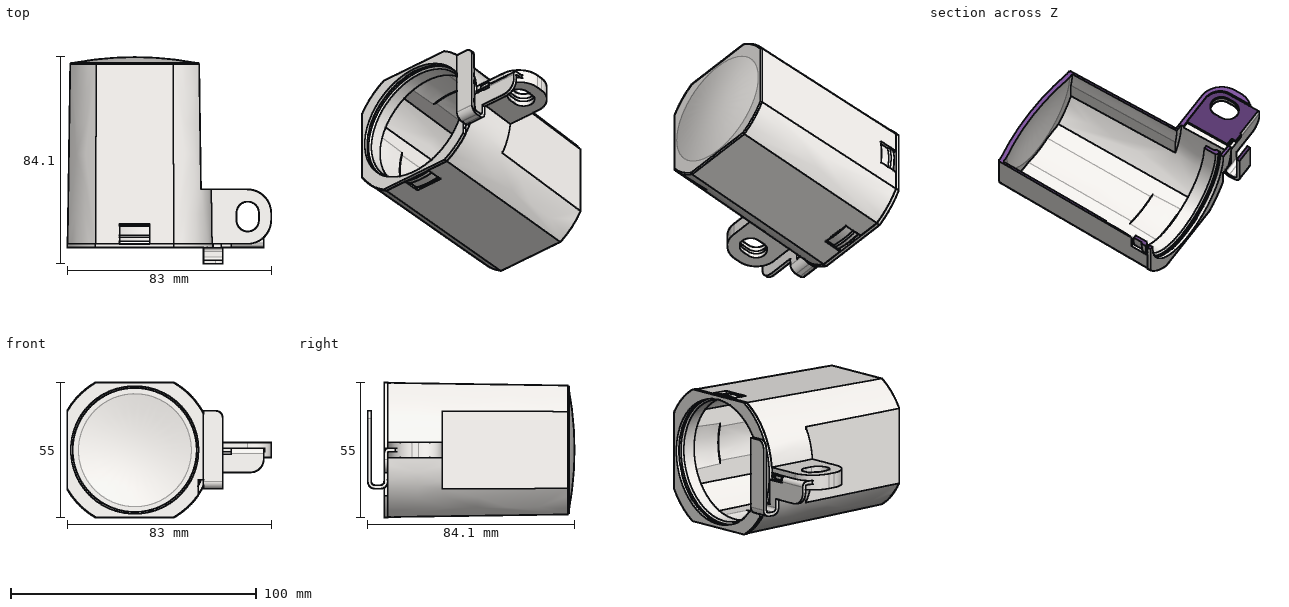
import cadquery as cq
HALF_WIDTH = 27.3
CORNER_RADIUS = 31.6
RIM_STEP = 0.2
RIM_THICKNESS = 1.5
BODY_LENGTH = 75.2
TAPER_ANGLE = 0.84
WALL = 2.0
REAR_EDGE_CHAMFER = 0.6
DOME_RADIUS = 24.4
DOME_HEIGHT = 2.3
INNER_DOME_RADIUS = 23.0

MOUTH_RADIUS = 52.0 / 2
SEAT_RADIUS = 53.5 / 2
SEAT_TAPER = 1.5
SEAT_DEPTH = 22.7

WINDOW_WIDTH = 12.2
WINDOW_END = 9.6

EAR_BACK = 23.7
BULGE_REACH = 20.2
EAR_TIP = 55.5
EAR_CORNER_RADIUS = 9.75
EAR_THICKNESS = 6.1
SLOT_WIDTH = 9.0
SLOT_LENGTH = 12.0
SLOT_X = 45.9
SLOT_Y = (RIM_THICKNESS + EAR_BACK) / 2

RING_BORE_RADIUS = 50.4 / 2
RING_RIB_RADIUS = 54.8 / 2
RING_FRONT = 2.5
RING_BACK = 8.8
RIB_SLOPE_START = 4.3
RIB_SLOPE_END = 5.0

SHEET = 1.5
BEND_INNER_RADIUS = 0.5
BEND_OUTER_RADIUS = BEND_INNER_RADIUS + SHEET
BEND_FILLET_SHARE = 0.999
BRACKET_INNER_X = 32.0
PLATE_TIP = 52.5
PLATE_BACK = 21.6
PLATE_CLEARANCE = 0.4
PLATE_CORNER_RADIUS = 6.7
TONGUE_START = 35.15
TONGUE_END = 39.3
RELIEF_BOTTOM = -1.8
TAB_BOTTOM = -9.2
TAB_CORNER_RADIUS = 5.5
STRIP_LEFT = 27.9
STRIP_RIGHT = 35.8
STRIP_TOP = 16.0
STRIP_TOP_RADIUS = 3.0
STRIP_FRONT = -6.65
STRIP_BOTTOM = -15.8
HOOK_INNER_RADIUS = 1.5
NOTCH_LEFT = 25.8
NOTCH_TOP = -12.1


def box(x_range, y_range, z_range):
    """Axis-aligned block between the given limits."""
    size = [high - low for low, high in (x_range, y_range, z_range)]
    return cq.Workplane("XY").box(*size, centered=False).translate((x_range[0], y_range[0], z_range[0]))


def axial_plane(y):
    """Sketch plane across the axis, extruding toward +Y."""
    return cq.Workplane(cq.Plane(origin=(0, y, 0), xDir=(1, 0, 0), normal=(0, 1, 0)))


def disc(radius, start, end, taper=0.0):
    """Cylinder or cone about the housing axis."""
    return axial_plane(start).circle(radius).extrude(end - start, taper=taper)


def rounded_octagon(half_width, radius, start, end, taper=0.0, bulge_end=None):
    """Square bar cut by a round bar, both tapering alike.

    Up to bulge_end, if given, the +X flat is left out and the round bar shows there.
    """
    square = axial_plane(start).rect(2 * half_width, 2 * half_width).extrude(end - start, taper=taper)
    if bulge_end is not None:
        square = square.union(box((0, radius), (start, bulge_end), (-BULGE_REACH, BULGE_REACH)))
    return square.intersect(disc(radius, start, end, taper))


def dome(radius, height, base):
    """Spherical cap about the axis, bulging toward +Y."""
    profile = (
        cq.Workplane("XY")
        .moveTo(0, base)
        .lineTo(radius, base)
        .radiusArc((0, base + height), -(radius**2 + height**2) / (2 * height))
        .close()
    )
    return profile.revolve(360, (0, 0, 0), (0, 1, 0))


def ear_blank():
    """Flat lug on the +X side, drawn in XY and centred on z = 0."""
    lug = box(
        (BRACKET_INNER_X - WALL, EAR_TIP),
        (RIM_THICKNESS, EAR_BACK),
        (-EAR_THICKNESS / 2, EAR_THICKNESS / 2),
    )
    return lug.edges("|Z and >X").fillet(EAR_CORNER_RADIUS)


def strap_slot():
    """Obround cutter through the ear and the plate inside it."""
    slot = cq.Workplane("XY").center(SLOT_X, SLOT_Y).slot2D(SLOT_LENGTH, SLOT_WIDTH, 90)
    return slot.extrude(EAR_THICKNESS, both=True)


def flat_plate(inner_x, tip, front):
    """Flat part of the bracket, with its rear outer corner rounded."""
    plate = box((inner_x, tip), (front, PLATE_BACK), (-SHEET / 2, SHEET / 2))
    return plate.edges("|Z and >X and >Y").fillet(PLATE_CORNER_RADIUS)


def make_bracket():
    """Sheet folded from a flat plate to a tab, then a forward hook and a front strip."""
    half = SHEET / 2
    plate = flat_plate(BRACKET_INNER_X, PLATE_TIP, BEND_OUTER_RADIUS).cut(strap_slot())
    tongue = box((TONGUE_START, TONGUE_END), (0, BEND_OUTER_RADIUS), (-half, half))

    bend_bottom = half - BEND_OUTER_RADIUS
    bend = box((TONGUE_END, PLATE_TIP), (0, BEND_OUTER_RADIUS), (bend_bottom, half))
    bend = bend.edges("|X and <Y and >Z").fillet(BEND_OUTER_RADIUS * BEND_FILLET_SHARE)
    bend = bend.cut(
        cq.Workplane("YZ", origin=(TONGUE_END, BEND_OUTER_RADIUS, bend_bottom))
        .circle(BEND_INNER_RADIUS)
        .extrude(PLATE_TIP - TONGUE_END)
    )

    tab = box((BRACKET_INNER_X, PLATE_TIP), (0, SHEET), (TAB_BOTTOM, RELIEF_BOTTOM))
    tab = tab.edges("|Y and >X and <Z").fillet(TAB_CORNER_RADIUS)
    tab_neck = box((TONGUE_END, PLATE_TIP), (0, SHEET), (RELIEF_BOTTOM, bend_bottom))

    hook = (
        cq.Workplane("YZ", origin=(STRIP_LEFT, 0, 0))
        .moveTo(SHEET, NOTCH_TOP)
        .lineTo(SHEET, STRIP_BOTTOM)
        .lineTo(STRIP_FRONT, STRIP_BOTTOM)
        .lineTo(STRIP_FRONT, STRIP_TOP)
        .lineTo(STRIP_FRONT + SHEET, STRIP_TOP)
        .lineTo(STRIP_FRONT + SHEET, STRIP_BOTTOM + SHEET)
        .lineTo(0, STRIP_BOTTOM + SHEET)
        .lineTo(0, NOTCH_TOP)
        .close()
        .extrude(STRIP_RIGHT - STRIP_LEFT)
    )
    hook = hook.edges("|X and <Z").fillet(HOOK_INNER_RADIUS + SHEET)
    inner_corners = cq.selectors.BoxSelector(
        (STRIP_LEFT - 0.8, STRIP_FRONT + 0.8, STRIP_BOTTOM + 0.8),
        (STRIP_RIGHT + 0.8, 0.8, STRIP_BOTTOM + SHEET + 0.8),
    )
    hook = hook.edges("|X").edges(inner_corners).fillet(HOOK_INNER_RADIUS)
    hook = hook.edges("|Y and >X and >Z").fillet(STRIP_TOP_RADIUS)
    hook_neck = box((BRACKET_INNER_X, STRIP_RIGHT), (0, SHEET), (NOTCH_TOP, TAB_BOTTOM))
    return plate.union(tongue).union(bend).union(tab_neck).union(tab).union(hook_neck).union(hook)


def make_ring():
    """Snap ring: a rib at the front, a plain cylinder behind and a lead-in bevel in the bore."""
    profile = (
        cq.Workplane("XY")
        .moveTo(MOUTH_RADIUS, RING_FRONT)
        .lineTo(RING_RIB_RADIUS, RING_FRONT)
        .lineTo(RING_RIB_RADIUS, RIB_SLOPE_START)
        .lineTo(SEAT_RADIUS, RIB_SLOPE_END)
        .lineTo(SEAT_RADIUS, RING_BACK)
        .lineTo(RING_BORE_RADIUS, RING_BACK)
        .lineTo(RING_BORE_RADIUS, RING_FRONT + MOUTH_RADIUS - RING_BORE_RADIUS)
        .close()
    )
    return profile.revolve(360, (0, 0, 0), (0, 1, 0))


def make_outer_shape():
    """Housing without its openings: tapered body, dome, rim and ear."""
    body = rounded_octagon(HALF_WIDTH, CORNER_RADIUS, 0, BODY_LENGTH, TAPER_ANGLE, EAR_BACK)
    body = body.faces(">Y").chamfer(REAR_EDGE_CHAMFER)
    body = body.union(dome(DOME_RADIUS, DOME_HEIGHT, BODY_LENGTH))
    rim = rounded_octagon(
        HALF_WIDTH + RIM_STEP, CORNER_RADIUS + RIM_STEP, 0, RIM_THICKNESS, bulge_end=RIM_THICKNESS
    )
    return body.union(rim).union(ear_blank())


def make_cavity():
    """Inside of the housing: mouth, ring seat, tapered chamber and hollow dome."""
    inner_half = HALF_WIDTH - WALL
    inner_radius = CORNER_RADIUS - WALL
    rear_wall = BODY_LENGTH - WALL
    cavity = rounded_octagon(
        inner_half, inner_radius, RIM_THICKNESS, rear_wall, TAPER_ANGLE, SEAT_DEPTH
    )
    cavity = cavity.union(disc(SEAT_RADIUS, RING_BACK, SEAT_DEPTH, SEAT_TAPER))
    cavity = cavity.union(disc(SEAT_RADIUS, RIM_THICKNESS, RING_BACK))
    cavity = cavity.union(disc(MOUTH_RADIUS, 0, SEAT_DEPTH))
    cavity = cavity.union(disc(MOUTH_RADIUS, SEAT_DEPTH, rear_wall, TAPER_ANGLE))
    return cavity.union(dome(INNER_DOME_RADIUS, DOME_HEIGHT, rear_wall))


def make_windows():
    """Openings through the top, bottom and -X flats, just behind the rim."""
    half = WINDOW_WIDTH / 2
    depth = (RIM_THICKNESS, WINDOW_END)
    vertical = box((-half, half), depth, (-CORNER_RADIUS, CORNER_RADIUS))
    left = box((-CORNER_RADIUS, 0), depth, (-half, half))
    return vertical.union(left)


def make_housing(ring, bracket):
    """Hollow body with its openings, and with recesses that fit the ring and the bracket."""
    plate_opening = flat_plate(SEAT_RADIUS, PLATE_TIP + PLATE_CLEARANCE, RIM_THICKNESS)
    hook_notch = box((NOTCH_LEFT, CORNER_RADIUS), (0, RIM_THICKNESS), (-HALF_WIDTH, NOTCH_TOP))
    housing = make_outer_shape().cut(make_cavity()).cut(make_windows())
    housing = housing.cut(plate_opening).cut(hook_notch).cut(strap_slot())
    return housing.cut(ring).cut(bracket)


ring = make_ring()
bracket = make_bracket()
housing = make_housing(ring, bracket)

result = cq.Compound.makeCompound([housing.val(), ring.val(), bracket.val()])